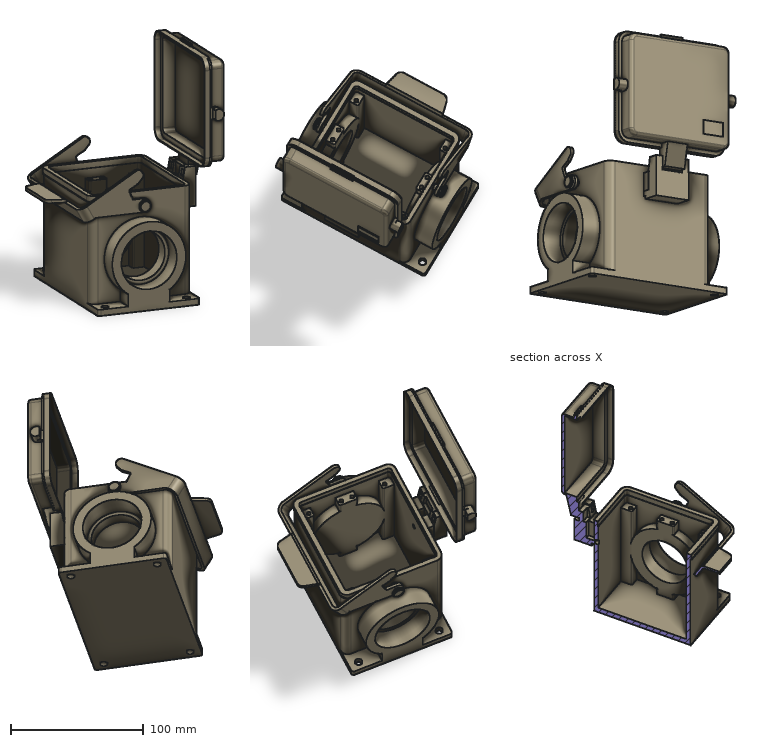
import cadquery as cq
import math

BASE_LENGTH = 125.0
BODY_LENGTH = 94.0
BODY_WIDTH = 83.6
BODY_HEIGHT = 90.0
BODY_CORNER_R = 6.0
BASE_THICKNESS = 5.0
BASE_CORNER_R = 2.0
RIM_HEIGHT = 5.0
RIM_OVERHANG = 0.8
RIM_CAVITY_GROWTH = 0.25
CAVITY_LENGTH = 86.0
CAVITY_WIDTH = 76.0
CAVITY_CORNER_R = 2.5
MOUNT_HOLE_D = 5.6
MOUNT_HOLE_X = 56.0
MOUNT_HOLE_Y = 33.5

PORT_Z = 39.5
PORT_R = 30.25
PORT_ENTRY_R = 22.75
PORT_BORE_R = 19.65
PORT_PEDESTAL_WIDTH = 34.0
PORT_CAP_THICKNESS = 2.5

PILLAR_DEPTH = 7.7
PILLAR_TOP_Z = 77.5
PILLAR_CORNER_R = 1.2
CORNER_PILLAR_WIDTH = 9.5
MIDDLE_PILLAR_WIDTH = 15.0
SCREW_HOLE_D = 3.0
SCREW_HOLE_DEPTH = 12.0
SCREW_X = 38.6
CORNER_SCREW_Y = 31.5
MIDDLE_SCREW_Y = 4.5
REAR_HOLE_D = 3.5
REAR_HOLE_Z = 69.0
REAR_HOLE_DEPTH = 3.0

HINGE_WIDTH = 29.5
HINGE_BACK_Y = 58.9
HINGE_FRONT_Y = 48.2
HINGE_TOP_FRONT_Y = 50.0
HINGE_FOOT_Y = 43.9
HINGE_BOTTOM_Z = 63.4
HINGE_STEP_Z = 65.8
HINGE_TOP_Z = 94.8
HINGE_SLOPE_Z = 85.0
RIB_BOTTOM_Z = 69.8
RIB_TOP_Z = 84.1
RIB_GAP = 6.3
RIB_INSET = 0.25
ARM_WIDTH = 18.0
ARM_FRONT_Y = 54.9
ARM_BOTTOM_Z = 86.3
ARM_BOTTOM_BACK_Y = 61.8
ARM_TOP_BACK_Y = 65.9
SLOT_BOTTOM_Z = 84.0
FRONT_WALL_TOP_Z = 94.0
RECESS_WIDTH = 11.8
RECESS_BACK_Y = 51.0
POCKET_X = 11.5
POCKET_WIDTH = 3.8
POCKET_BACK_Y = 53.0
POCKET_BOTTOM_Z = 87.5
POCKET_TOP_Z = 92.5

LID_Z = 144.5
FLANGE_FRONT_Y = 51.7
FLANGE_BACK_Y = 57.7
FLANGE_LENGTH = 96.6
FLANGE_HEIGHT = 86.0
FLANGE_CORNER_R = 8.6
LID_BACK_Y = 69.7
LID_LENGTH = 91.0
LID_HEIGHT = 79.6
LID_CORNER_R = 5.6
LID_EDGE_R = 2.7
LID_CAVITY_LENGTH = 86.6
LID_CAVITY_HEIGHT = 75.6
LID_CAVITY_CORNER_R = 3.5
LID_CAVITY_BACK_Y = 66.9
SEAT_WALL = 0.8
SEAT_BACK_Y = 56.5
PEG_R = 4.6
PEG_Y = 61.1
PEG_FLAT_Y = 58.5
PEG_SPAN = 106.8
TAB_WIDTH = 19.6
TAB_FRONT_Y = 56.5
TAB_BACK_Y = 58.2
TAB_TOP_Z = 189.0
TAB_STEP_Z = 186.3
TAB_RIDGE_Y = 59.1
LABEL_LENGTH = 17.8
LABEL_HEIGHT = 10.8
LABEL_THICKNESS = 0.7
LABEL_X = -29.7
LABEL_Z = 119.0

PIVOT_Z = 80.0
LEVER_TILT = math.radians(30)
LEVER_SPAN = 105.0
LEVER_THICKNESS = 2.5
LEVER_BEND_R = 7.0
LEVER_HUB_R = 5.4
LEVER_REACH = 45.4
BAR_LOW = 15.0
BAR_HIGH = 27.2
TIP_R = 4.2
TIP_BACK = 8.0
HOOK_CORNER_R = 1.5
HOOK_LIP = (4.8, 17.3)
HOOK_THROAT = (12.4, 13.3)
HOOK_ROOT_FORWARD = 8.7
HANDLE_END_Y = -66.95
HANDLE_BASE_HALF = 25.0
HANDLE_END_HALF = 21.0
HANDLE_CORNER_R = 5.0
RIVET_SPAN = 112.0
RIVET_HEAD_R = 4.8
RIVET_HEAD_THICKNESS = 1.6
RIVET_HEAD_CHAMFER = 0.8
RIVET_SHAFT_R = 2.5


def block(x_range, y_range, z_range):
    """Axis-aligned box given by its limits."""
    x0, x1 = x_range
    y0, y1 = y_range
    z0, z1 = z_range
    return cq.Workplane("XY").box(x1 - x0, y1 - y0, z1 - z0, centered=False).translate((x0, y0, z0))


def upright_slab(length, width, z0, z1, corner_r):
    """Box centred on the Z axis with rounded vertical corners."""
    half_length = length / 2
    half_width = width / 2
    slab = block((-half_length, half_length), (-half_width, half_width), (z0, z1))
    return slab.edges("|Z").fillet(corner_r)


def lid_slab(length, height, y0, y1, corner_r):
    """Box centred on the lid with rounded corners along Y."""
    half_length = length / 2
    half_height = height / 2
    slab = block((-half_length, half_length), (y0, y1), (LID_Z - half_height, LID_Z + half_height))
    return slab.edges("|Y").fillet(corner_r)


def x_cylinder(radius, x0, x1, y, z):
    return cq.Workplane("YZ", origin=(x0, 0, 0)).center(y, z).circle(radius).extrude(x1 - x0)


def yz_profile(points, width):
    """Extrude a closed (y, z) outline symmetrically about X = 0."""
    return cq.Workplane("YZ").polyline(points).close().extrude(width / 2, both=True)


def cable_port_outside():
    half = BASE_LENGTH / 2
    half_pedestal = PORT_PEDESTAL_WIDTH / 2
    pedestal = block((-half, half), (-half_pedestal, half_pedestal), (0, PORT_Z))
    return x_cylinder(PORT_R, -half, half, 0, PORT_Z).union(pedestal)


def cable_port_bores():
    """Stepped bores: the -X one ends at a thin cap, the +X one opens into the cavity."""
    outer_x = BASE_LENGTH / 2
    step_x = BODY_LENGTH / 2
    inner_x = CAVITY_LENGTH / 2 - PILLAR_DEPTH
    cap_x = inner_x + PORT_CAP_THICKNESS
    capped_entry = x_cylinder(PORT_ENTRY_R, -outer_x, -step_x, 0, PORT_Z)
    capped_bore = x_cylinder(PORT_BORE_R, -step_x, -cap_x, 0, PORT_Z)
    open_bore = x_cylinder(PORT_BORE_R, inner_x, step_x, 0, PORT_Z)
    open_entry = x_cylinder(PORT_ENTRY_R, step_x, outer_x, 0, PORT_Z)
    return capped_entry.union(capped_bore).union(open_bore).union(open_entry)


def cavity():
    """Box-shaped room, slightly wider within the rim."""
    rim_z = BODY_HEIGHT - RIM_HEIGHT
    room = upright_slab(CAVITY_LENGTH, CAVITY_WIDTH, BASE_THICKNESS, BODY_HEIGHT, CAVITY_CORNER_R)
    rim_room = upright_slab(
        CAVITY_LENGTH + 2 * RIM_CAVITY_GROWTH,
        CAVITY_WIDTH + 2 * RIM_CAVITY_GROWTH,
        rim_z,
        BODY_HEIGHT,
        CAVITY_CORNER_R,
    )
    return room.union(rim_room)


def pillars(side):
    """Pillars and port boss lining the inside of one end wall; side is -1 or +1."""
    wall_x = side * (CAVITY_LENGTH + BODY_LENGTH) / 4
    face_x = side * (CAVITY_LENGTH / 2 - PILLAR_DEPTH)
    x_range = (min(wall_x, face_x), max(wall_x, face_x))
    half_width = CAVITY_WIDTH / 2
    half_middle = MIDDLE_PILLAR_WIDTH / 2
    z_range = (BASE_THICKNESS, PILLAR_TOP_Z)
    inner_face = "<X" if side > 0 else ">X"
    inner_y = half_width - CORNER_PILLAR_WIDTH
    rear = block(x_range, (inner_y, half_width), z_range)
    rear = rear.edges(f"(|Z and {inner_face}) and <Y").fillet(PILLAR_CORNER_R)
    front = rear.mirror("XZ")
    middle = block(x_range, (-half_middle, half_middle), z_range)
    middle = middle.edges(f"|Z and {inner_face}").fillet(PILLAR_CORNER_R)
    group = x_cylinder(PORT_R, *x_range, 0, PORT_Z)
    for pillar in (rear, middle, front):
        group = group.union(pillar)
    screw_ys = (-CORNER_SCREW_Y, -MIDDLE_SCREW_Y, MIDDLE_SCREW_Y, CORNER_SCREW_Y)
    screw_holes = (
        cq.Workplane("XY", origin=(0, 0, PILLAR_TOP_Z))
        .pushPoints([(side * SCREW_X, y) for y in screw_ys])
        .circle(SCREW_HOLE_D / 2)
        .extrude(-SCREW_HOLE_DEPTH)
    )
    return group.cut(screw_holes)


def housing():
    """Flanged box with a rim that overhangs the front, cable ports and screw pillars."""
    rim_z = BODY_HEIGHT - RIM_HEIGHT
    base = upright_slab(BASE_LENGTH, BODY_WIDTH, 0, BASE_THICKNESS, BASE_CORNER_R)
    walls = upright_slab(BODY_LENGTH, BODY_WIDTH, 0, BODY_HEIGHT, BODY_CORNER_R)
    rim = upright_slab(BODY_LENGTH, BODY_WIDTH, rim_z, BODY_HEIGHT, BODY_CORNER_R)
    body = base.union(walls).union(rim.translate((0, -RIM_OVERHANG, 0))).union(cable_port_outside())
    body = body.cut(cavity()).union(pillars(-1)).union(pillars(1)).cut(cable_port_bores())
    mount_holes = (
        cq.Workplane("XY")
        .rect(2 * MOUNT_HOLE_X, 2 * MOUNT_HOLE_Y, forConstruction=True)
        .vertices()
        .circle(MOUNT_HOLE_D / 2)
        .extrude(BASE_THICKNESS)
    )
    rear_hole = (
        cq.Workplane("XZ", origin=(0, CAVITY_WIDTH / 2, REAR_HOLE_Z))
        .circle(REAR_HOLE_D / 2)
        .extrude(-REAR_HOLE_DEPTH)
    )
    return body.cut(mount_holes).cut(rear_hole)


def hinge_bracket():
    """Bracket on the rear wall whose slot holds the lid arm."""
    rib_end = HINGE_WIDTH / 2 - RIB_INSET
    wall_y = BODY_WIDTH / 2
    half_arm = ARM_WIDTH / 2
    bracket = yz_profile(
        [
            (HINGE_BACK_Y, HINGE_BOTTOM_Z),
            (HINGE_BACK_Y, HINGE_TOP_Z),
            (HINGE_TOP_FRONT_Y, HINGE_TOP_Z),
            (HINGE_FRONT_Y, HINGE_SLOPE_Z),
            (HINGE_FRONT_Y, RIB_BOTTOM_Z),
            (wall_y, RIB_BOTTOM_Z),
            (wall_y, HINGE_STEP_Z),
            (HINGE_FOOT_Y, HINGE_STEP_Z),
            (HINGE_FOOT_Y, HINGE_BOTTOM_Z),
        ],
        HINGE_WIDTH,
    )
    rib_y = (wall_y, HINGE_FRONT_Y)
    rib_z = (RIB_BOTTOM_Z, RIB_TOP_Z)
    bracket = bracket.union(block((-rib_end, -RIB_GAP / 2), rib_y, rib_z))
    bracket = bracket.union(block((RIB_GAP / 2, rib_end), rib_y, rib_z))
    arm_slot = block((-half_arm, half_arm), (ARM_FRONT_Y, HINGE_BACK_Y), (SLOT_BOTTOM_Z, HINGE_TOP_Z))
    wall_top = block((-half_arm, half_arm), (wall_y, ARM_FRONT_Y), (FRONT_WALL_TOP_Z, HINGE_TOP_Z))
    half_recess = RECESS_WIDTH / 2
    recess = block((-half_recess, half_recess), (wall_y, RECESS_BACK_Y), (HINGE_SLOPE_Z, HINGE_TOP_Z))
    bracket = bracket.cut(arm_slot).cut(wall_top).cut(recess)
    for side in (-1, 1):
        pocket_x = (side * POCKET_X - POCKET_WIDTH / 2, side * POCKET_X + POCKET_WIDTH / 2)
        bracket = bracket.cut(block(pocket_x, (wall_y, POCKET_BACK_Y), (POCKET_BOTTOM_Z, POCKET_TOP_Z)))
    return bracket


def lid_arm():
    lid_bottom_z = LID_Z - LID_HEIGHT / 2
    return yz_profile(
        [
            (ARM_FRONT_Y, ARM_BOTTOM_Z),
            (ARM_FRONT_Y, lid_bottom_z),
            (ARM_TOP_BACK_Y, lid_bottom_z),
            (ARM_BOTTOM_BACK_Y, ARM_BOTTOM_Z),
        ],
        ARM_WIDTH,
    )


def lid_peg(side):
    """Locking peg with one flat, on a block that rises from the flange."""
    tip_x = side * PEG_SPAN / 2
    root_x = side * (LID_LENGTH / 2 - LID_EDGE_R)
    edge_x = side * FLANGE_LENGTH / 2
    peg = x_cylinder(PEG_R, root_x, tip_x, PEG_Y, LID_Z)
    peg_x = sorted((root_x, tip_x))
    peg_z = (LID_Z - PEG_R, LID_Z + PEG_R)
    peg = peg.intersect(block(peg_x, (PEG_FLAT_Y, PEG_Y + PEG_R), peg_z))
    return peg.union(block(sorted((root_x, edge_x)), (SEAT_BACK_Y, PEG_Y), peg_z))


def lid():
    """Open upright lid with gasket seat, arm, pegs, top tab and rear label plate."""
    shell = lid_slab(LID_LENGTH, LID_HEIGHT, SEAT_BACK_Y, LID_BACK_Y, LID_CORNER_R)
    shell = shell.faces(">Y").edges().fillet(LID_EDGE_R)
    flange = lid_slab(FLANGE_LENGTH, FLANGE_HEIGHT, FLANGE_FRONT_Y, FLANGE_BACK_Y, FLANGE_CORNER_R)
    seat = lid_slab(
        FLANGE_LENGTH - 2 * SEAT_WALL,
        FLANGE_HEIGHT - 2 * SEAT_WALL,
        FLANGE_FRONT_Y,
        SEAT_BACK_Y,
        FLANGE_CORNER_R - SEAT_WALL,
    )
    room = lid_slab(
        LID_CAVITY_LENGTH, LID_CAVITY_HEIGHT, FLANGE_FRONT_Y, LID_CAVITY_BACK_Y, LID_CAVITY_CORNER_R
    )
    shell = shell.union(flange).union(lid_arm()).union(lid_peg(-1)).union(lid_peg(1)).cut(seat).cut(room)
    half_tab = TAB_WIDTH / 2
    tab_x = (-half_tab, half_tab)
    lid_top_z = LID_Z + LID_HEIGHT / 2
    tab = block(tab_x, (TAB_FRONT_Y, TAB_BACK_Y), (lid_top_z, TAB_TOP_Z))
    ridge = block(tab_x, (FLANGE_BACK_Y, TAB_RIDGE_Y), (lid_top_z, TAB_STEP_Z))
    label = block(
        (LABEL_X - LABEL_LENGTH / 2, LABEL_X + LABEL_LENGTH / 2),
        (LID_BACK_Y, LID_BACK_Y + LABEL_THICKNESS),
        (LABEL_Z - LABEL_HEIGHT / 2, LABEL_Z + LABEL_HEIGHT / 2),
    )
    return shell.union(tab).union(ridge).union(label)


def along_lever(reach, rise):
    """(y, z) of a point given along and square to the tilted lever, from its pivot."""
    forward = reach * math.cos(LEVER_TILT) + rise * math.sin(LEVER_TILT)
    up = rise * math.cos(LEVER_TILT) - reach * math.sin(LEVER_TILT)
    return (-forward, PIVOT_Z + up)


def lever_side_profile():
    """Side outline of the lever: hub, hook, rounded tip and bar, across the full span."""
    hub_z = (PIVOT_Z - LEVER_HUB_R, PIVOT_Z + LEVER_HUB_R)
    bar_knee = (BAR_LOW + LEVER_HUB_R * math.cos(LEVER_TILT)) / math.sin(LEVER_TILT)
    tip_rise = BAR_HIGH - TIP_R
    hook_lip = (-HOOK_LIP[0], PIVOT_Z + HOOK_LIP[1])
    hook_throat = (-HOOK_THROAT[0], PIVOT_Z + HOOK_THROAT[1])
    profile = (
        cq.Workplane("YZ")
        .moveTo(0, hub_z[0])
        .lineTo(-bar_knee, hub_z[0])
        .lineTo(*along_lever(LEVER_REACH, BAR_LOW))
        .lineTo(*along_lever(LEVER_REACH, BAR_HIGH))
        .lineTo(*along_lever(-TIP_BACK, BAR_HIGH))
        .threePointArc(
            along_lever(-TIP_BACK - TIP_R, tip_rise),
            along_lever(-TIP_BACK - TIP_R * math.sin(LEVER_TILT), tip_rise - TIP_R * math.cos(LEVER_TILT)),
        )
        .lineTo(*hook_lip)
        .lineTo(*hook_throat)
        .lineTo(-HOOK_ROOT_FORWARD, hub_z[1])
        .lineTo(0, hub_z[1])
        .threePointArc((LEVER_HUB_R, PIVOT_Z), (0, hub_z[0]))
        .close()
        .extrude(LEVER_SPAN / 2, both=True)
    )
    corner_edge = cq.selectors.NearestToPointSelector((0, *hook_throat))
    return profile.edges("|X").edges(corner_edge).fillet(HOOK_CORNER_R)


def lever_bail():
    """U-shaped strap bent in the tilted plane and trimmed to the side profile."""
    normal = (0, -math.sin(LEVER_TILT), math.cos(LEVER_TILT))
    tilted = cq.Plane(origin=(0, 0, PIVOT_Z), xDir=(1, 0, 0), normal=normal)
    straps = []
    for inset in (0, LEVER_THICKNESS):
        half_span = LEVER_SPAN / 2 - inset
        front = inset - LEVER_REACH
        radius = LEVER_BEND_R - inset
        straps.append(
            cq.Workplane(tilted)
            .moveTo(-half_span, LEVER_REACH)
            .lineTo(-half_span, front + radius)
            .radiusArc((-half_span + radius, front), -radius)
            .lineTo(half_span - radius, front)
            .radiusArc((half_span, front + radius), -radius)
            .lineTo(half_span, LEVER_REACH)
            .close()
            .extrude(LEVER_REACH, both=True)
        )
    outer, inner = straps
    return outer.cut(inner).intersect(lever_side_profile())


def handle():
    """Tapered flat grip that rises from the top edge of the lever bar."""
    root_y, root_z = along_lever(LEVER_REACH - LEVER_THICKNESS, BAR_HIGH)
    bend_y, bottom_z = along_lever(LEVER_REACH, BAR_HIGH)
    top_z = bottom_z + LEVER_THICKNESS
    side_profile = yz_profile(
        [
            (root_y, root_z),
            (bend_y, bottom_z),
            (HANDLE_END_Y, bottom_z),
            (HANDLE_END_Y, top_z),
            (bend_y, top_z),
        ],
        2 * HANDLE_BASE_HALF,
    )
    outline = (
        cq.Workplane("XY", origin=(0, 0, bottom_z))
        .polyline(
            [
                (-HANDLE_BASE_HALF, root_y),
                (-HANDLE_END_HALF, HANDLE_END_Y),
                (HANDLE_END_HALF, HANDLE_END_Y),
                (HANDLE_BASE_HALF, root_y),
            ]
        )
        .close()
        .extrude(LEVER_THICKNESS)
    )
    return side_profile.intersect(outline.edges("|Z and <Y").fillet(HANDLE_CORNER_R))


def rivet(side):
    head_x = side * (RIVET_SPAN / 2 - RIVET_HEAD_THICKNESS)
    end_x = side * RIVET_SPAN / 2
    head = x_cylinder(RIVET_HEAD_R, head_x, end_x, 0, PIVOT_Z)
    head = head.faces(">X" if side > 0 else "<X").chamfer(RIVET_HEAD_CHAMFER)
    return head.union(x_cylinder(RIVET_SHAFT_R, side * BODY_LENGTH / 2, end_x, 0, PIVOT_Z))


result = housing().union(hinge_bracket()).union(lid()).union(lever_bail()).union(handle())
for end in (-1, 1):
    result = result.union(rivet(end))